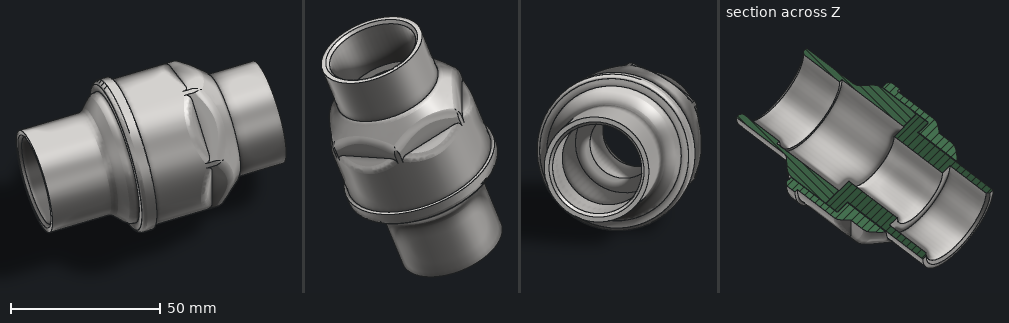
import cadquery as cq
import math


total_length = 83.3
pipe_diameter = 35.8
socket_diameter = 30.5
mouth_chamfer = 1.0
chamber_diameter = 32.8
through_diameter = 22.9
socket_depth = 17.1
slope_angle = math.radians(40)
round_radius = 4.0

nut_diameter = 51.0
nut_back = 25.65
nut_cone_start = 17.0
nut_hole_diameter = 36.0
nut_bore_diameter = 46.0
nut_bore_end = 8.0
rim_diameter = 53.4
rim_front = -12.6
rim_length = 4.9
rim_round = 1.7

flat_count = 6
across_flats = 45.0
flat_front = 13.6
cutter_margin = 0.8

joint_face = 3.0
front_cone_start = -14.3
neck_round = 3.0

half_length = total_length / 2
pipe_radius = pipe_diameter / 2
nut_radius = nut_diameter / 2
bore_radius = nut_bore_diameter / 2
slope = math.tan(slope_angle)
socket_end = -half_length + socket_depth


def revolve(points):
    """Turn a closed (radius, Y) outline about the Y axis."""
    return cq.Workplane("XY").polyline(points).close().revolve(360, (0, 0, 0), (0, 1, 0))


def edges_at(body, y, kinds=("CIRCLE",)):
    """Edges of the given kinds whose lowest Y is the given one."""
    tolerance = 0.01
    return body.newObject([
        edge for edge in body.edges().vals()
        if edge.geomType() in kinds and abs(edge.BoundingBox().ymin - y) < tolerance
    ])


def cylinder(diameter, start, end):
    """Cylinder on the Y axis between two Y positions."""
    return cq.Workplane("XZ", origin=(0, end, 0)).circle(diameter / 2).extrude(end - start)


def nut_blank():
    """Solid nut body before its flats: rim-side cylinder and rear cone."""
    back_radius = nut_radius - (nut_back - nut_cone_start) * slope
    blank = revolve([
        (0, rim_front),
        (nut_radius, rim_front),
        (nut_radius, nut_cone_start),
        (back_radius, nut_back),
        (0, nut_back),
    ])
    return blank.rotate((0, 0, 0), (0, 1, 0), -90)


def cut_flat(blank):
    """Cut one wrench flat on the +X side, with a sloping run-out and rounded edges."""
    flat_radius = across_flats / 2
    run_out_end = flat_front - (nut_radius - flat_radius) / slope
    outer_radius = nut_radius + cutter_margin
    outer_front = run_out_end - cutter_margin / slope
    cutter = (
        cq.Workplane("XY")
        .polyline([
            (flat_radius, nut_back),
            (flat_radius, flat_front),
            (outer_radius, outer_front),
            (outer_radius, nut_back),
        ])
        .close()
        .extrude(nut_radius, both=True)
    )
    body = blank.cut(cutter)
    body = edges_at(body, nut_cone_start, ("HYPERBOLA", "CIRCLE")).fillet(round_radius)
    return edges_at(body, run_out_end, ("ELLIPSE",)).fillet(round_radius)


def make_nut():
    """Hexagon union nut: wrench flats behind, thickened rim around the open mouth."""
    one_flat = cut_flat(nut_blank())
    nut = one_flat
    for index in range(1, flat_count):
        nut = nut.intersect(one_flat.rotate((0, 0, 0), (0, 1, 0), index * 360 / flat_count))
    nut = edges_at(nut, nut_back).fillet(round_radius)
    rim = edges_at(cylinder(rim_diameter, rim_front, rim_front + rim_length), rim_front).fillet(rim_round)
    nut = nut.union(rim)
    nut = nut.cut(cylinder(nut_bore_diameter, rim_front, nut_bore_end))
    return nut.cut(cylinder(nut_hole_diameter, nut_bore_end, nut_back))


def socket():
    """Cutter for a pipe socket with a chamfered mouth, opening at the front end."""
    socket_radius = socket_diameter / 2
    return revolve([
        (0, -half_length),
        (socket_radius + mouth_chamfer, -half_length),
        (socket_radius, -half_length + mouth_chamfer),
        (socket_radius, socket_end),
        (0, socket_end),
    ])


def make_front_tail():
    """Pipe that widens over a rounded 45-degree cone to fill the nut's mouth."""
    cone_end = front_cone_start - (bore_radius - pipe_radius)
    tail = revolve([
        (0, -half_length),
        (pipe_radius, -half_length),
        (pipe_radius, cone_end),
        (bore_radius, front_cone_start),
        (bore_radius, joint_face),
        (0, joint_face),
    ])
    tail = edges_at(tail, front_cone_start).fillet(round_radius)
    tail = edges_at(tail, cone_end).fillet(neck_round)
    return tail.cut(socket()).cut(cylinder(chamber_diameter, socket_end, joint_face))


def make_rear_tail():
    """Pipe that leaves through the nut's hole, held by a flange against the nut's shoulder."""
    flange = cylinder(nut_bore_diameter, joint_face, nut_bore_end)
    pipe = cylinder(pipe_diameter, joint_face, half_length)
    through_bore = cylinder(through_diameter, joint_face, half_length)
    rear_socket = socket().rotate((0, 0, 0), (0, 0, 1), 180)
    return flange.union(pipe).cut(through_bore).cut(rear_socket)


nut = make_nut()
front_tail = make_front_tail()
rear_tail = make_rear_tail()

result = cq.Compound.makeCompound([nut.solids().val(), front_tail.solids().val(), rear_tail.solids().val()])